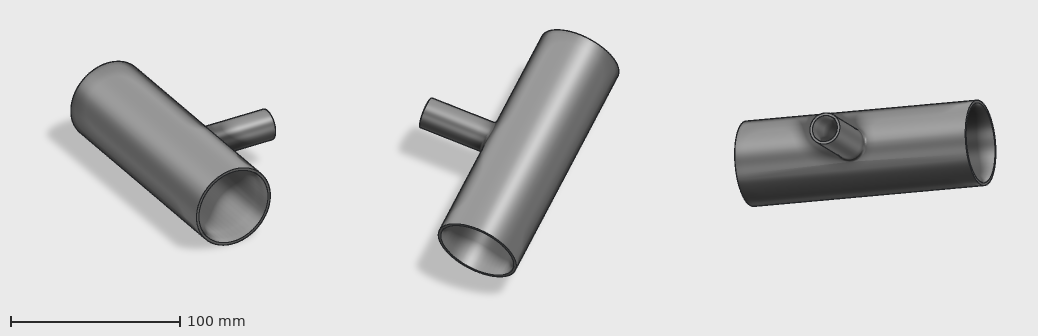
import cadquery as cq

run_length = 146.0
run_outer_diameter = 50.8
run_bore_diameter = 47.5

branch_outer_diameter = 19.0
branch_bore_diameter = 15.8
branch_reach = 66.6

junction_fillet_radius = 1.8


def run_cylinder(diameter):
    """Cylinder along X, centred on the origin."""
    return cq.Workplane("YZ").circle(diameter / 2).extrude(run_length / 2, both=True)


def branch_cylinder(diameter):
    """Cylinder along +Y from the run axis to the end of the branch."""
    return cq.Workplane("XZ").circle(diameter / 2).extrude(-branch_reach)


def junction_region():
    """Box around the edge where the branch meets the outside of the run."""
    half_width = branch_outer_diameter
    return cq.selectors.BoxSelector(
        (-half_width, 0, -half_width),
        (half_width, run_outer_diameter / 2, half_width),
    )


body = run_cylinder(run_outer_diameter).union(branch_cylinder(branch_outer_diameter))
body = body.edges(junction_region()).fillet(junction_fillet_radius)

result = body.cut(run_cylinder(run_bore_diameter)).cut(branch_cylinder(branch_bore_diameter))